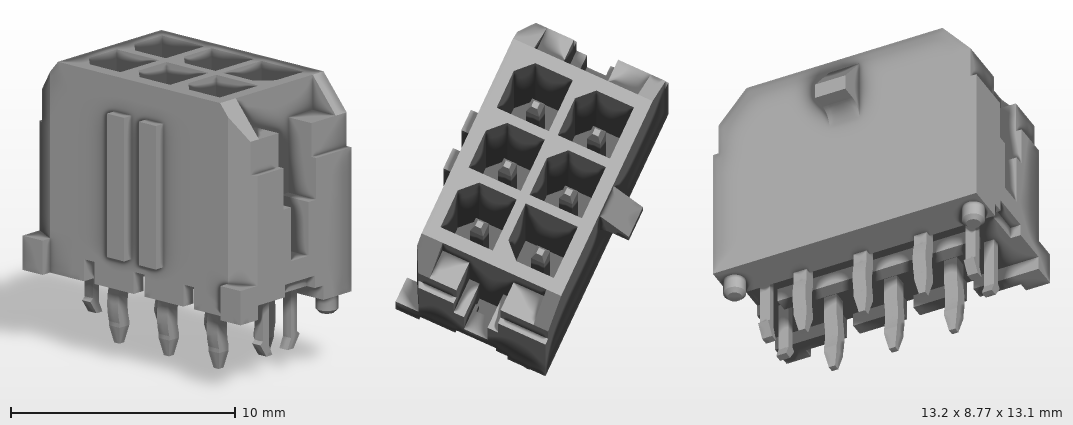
import cadquery as cq


PITCH = 3.0
COLUMN_X = (-PITCH, 0, PITCH)
ROW_Y = (-PITCH / 2, PITCH / 2)

HALF_WIDTH = 6.58
SHOULDER_HALF_WIDTH = 6.29
TOP_HALF_WIDTH = 4.89
FRONT_HALF_WIDTH = 5.37
FRONT_Y = -3.43
BACK_Y = 3.42
TOP_Z = 9.89
TOTAL_HEIGHT = 13.08
SLOPE_BASE_Z = 8.26
STEP_Z = 6.69
CORNER_DEPTH = 0.63

CAVITY_SIZE = 2.56
CAVITY_CHAMFER = 0.72
CAVITY_FLOOR_Z = 2.0

BACK_CORNER_THICKNESS = 0.72
FRONT_CORNER_THICKNESS = 1.04
WIDE_SLOT_WIDTH = 2.17
WIDE_SLOT_Z = 4.76
NARROW_SLOT_WIDTH = 1.16
NARROW_SLOT_Z = 2.26
POCKET_DEPTH = 0.67
POCKET_INNER_X = 5.31
POCKET_OUTER_X = 5.62
POCKET_OUTER_WIDTH = 0.83
WINDOW_WIDTH = 1.99
WINDOW_TOP_Z = 1.25
WINDOW_DEPTH = 0.5

CLEARANCE_Z = 0.67
CLEARANCE_FRONT_Y = -2.77
CLEARANCE_BACK_Y = 1.56
PAD_LENGTH = 0.68
NOTCH_TOP_Z = 1.03

RIB_WIDTH = 1.03
RIB_CENTER_X = 0.96
RIB_DEPTH = 0.5
FOOT_HEIGHT = 1.59

LATCH_WIDTH = 1.5
LATCH_REACH = 1.42
LATCH_TOP_Z = 9.32
LATCH_NOSE_Z = 7.67
LATCH_BOTTOM_Z = 6.92
LATCH_FILLET = 0.68

PEG_DIAMETER = 1.03
PEG_LENGTH = 0.87
PEG_CHAMFER = 0.18
PEG_X = 5.96
PEG_Y = 2.47

CONTACT_SHIFT_Y = 0.04
PIN_SIZE = 0.65
PIN_TIP_SIZE = 0.32
PIN_BOTTOM_Z = TOP_Z - TOTAL_HEIGHT
PIN_TAPER_Z = -2.39
BEND_TOP_Z = -0.53
BEND_BOTTOM_Z = -2.2
BEND_OFFSET = 0.12
PIN_TOP_Z = 7.63
PIN_POINT_SIZE = 0.29
PIN_POINT_LENGTH = 0.59

CLIP_THICKNESS = 0.5
CLIP_OUTER_X = 5.38
CLIP_LEG_OUTER_Y = 1.13
CLIP_LEG_INNER_Y = 0.74
CLIP_BARB_Y = 1.3
CLIP_TIP_OUTER_Y = 0.9
CLIP_TIP_INNER_Y = 0.5
CLIP_SHOULDER_Z = -1.59
CLIP_BARB_Z = -1.74
CLIP_INNER_BEND_Z = -1.83
CLIP_TIP_Z = -2.34


def box(x_start, x_end, y_start, y_end, z_start, z_end):
    """Box between two limits on each axis."""
    size = (x_end - x_start, y_end - y_start, z_end - z_start)
    return cq.Workplane("XY").box(*size, centered=False).translate((x_start, y_start, z_start))


def on_both_ends(right_shape):
    """A shape at the +X end together with its mirror image at the -X end."""
    return right_shape.union(right_shape.mirror("YZ"))


def make_shell():
    """Stepped and sloped housing block with its front vertical corners cut off."""
    half_outline = [
        (0, 0),
        (HALF_WIDTH, 0),
        (HALF_WIDTH, STEP_Z),
        (SHOULDER_HALF_WIDTH, STEP_Z),
        (SHOULDER_HALF_WIDTH, SLOPE_BASE_Z),
        (TOP_HALF_WIDTH, TOP_Z),
        (0, TOP_Z),
    ]
    half = cq.Workplane("XZ", origin=(0, BACK_Y, 0)).polyline(half_outline).close().extrude(BACK_Y - FRONT_Y)
    corner = (
        cq.Workplane("XY")
        .polyline([
            (FRONT_HALF_WIDTH, FRONT_Y),
            (HALF_WIDTH, FRONT_Y),
            (HALF_WIDTH, FRONT_Y + CORNER_DEPTH),
        ])
        .close()
        .extrude(TOP_Z)
    )
    return on_both_ends(half.cut(corner))


def make_end_recesses():
    """Open top, stepped slot, floor pocket and low window cut into each end wall."""
    open_top = box(
        TOP_HALF_WIDTH, HALF_WIDTH,
        FRONT_Y + FRONT_CORNER_THICKNESS, BACK_Y - BACK_CORNER_THICKNESS,
        SLOPE_BASE_Z, TOP_Z,
    )
    wide_slot = box(
        TOP_HALF_WIDTH, HALF_WIDTH, -WIDE_SLOT_WIDTH / 2, WIDE_SLOT_WIDTH / 2, WIDE_SLOT_Z, TOP_Z
    )
    narrow_slot = box(
        TOP_HALF_WIDTH, HALF_WIDTH, -NARROW_SLOT_WIDTH / 2, NARROW_SLOT_WIDTH / 2, NARROW_SLOT_Z, TOP_Z
    )
    pocket_floor_z = NARROW_SLOT_Z - POCKET_DEPTH
    inner_pocket = box(
        TOP_HALF_WIDTH, POCKET_INNER_X,
        -NARROW_SLOT_WIDTH / 2, NARROW_SLOT_WIDTH / 2,
        pocket_floor_z, NARROW_SLOT_Z,
    )
    outer_pocket = box(
        TOP_HALF_WIDTH, POCKET_OUTER_X,
        -POCKET_OUTER_WIDTH / 2, POCKET_OUTER_WIDTH / 2,
        pocket_floor_z, NARROW_SLOT_Z,
    )
    window = box(
        HALF_WIDTH - WINDOW_DEPTH, HALF_WIDTH, -WINDOW_WIDTH / 2, WINDOW_WIDTH / 2, 0, WINDOW_TOP_Z
    )
    recesses = open_top.union(wide_slot).union(narrow_slot)
    return on_both_ends(recesses.union(inner_pocket).union(outer_pocket).union(window))


def make_cavity(x, y):
    """Square contact cavity with one chamfered front corner that keys the mating plug."""
    keyed_right = x > 0 and y > 0
    key_edge = "|Z and >X and <Y" if keyed_right else "|Z and <X and <Y"
    half = CAVITY_SIZE / 2
    cavity = box(x - half, x + half, y - half, y + half, CAVITY_FLOOR_Z, TOP_Z)
    return cavity.edges(key_edge).chamfer(CAVITY_CHAMFER)


def make_underside_clearance():
    """Full-width channel under the housing, less a pad along the middle."""
    channel = box(-HALF_WIDTH, HALF_WIDTH, CLEARANCE_FRONT_Y, CLEARANCE_BACK_Y, 0, CLEARANCE_Z)
    pad = box(-TOP_HALF_WIDTH, TOP_HALF_WIDTH, -PAD_LENGTH / 2, PAD_LENGTH / 2, 0, CLEARANCE_Z)
    return channel.cut(pad)


def make_notch(x):
    """Notch in the lower front wall, running back to the front contact of a column."""
    half = PIN_SIZE / 2
    return box(x - half, x + half, FRONT_Y, ROW_Y[0], 0, NOTCH_TOP_Z)


def make_front_ribs():
    half = RIB_WIDTH / 2
    return on_both_ends(
        box(
            RIB_CENTER_X - half, RIB_CENTER_X + half, FRONT_Y - RIB_DEPTH, FRONT_Y, FOOT_HEIGHT, SLOPE_BASE_Z
        )
    )


def make_feet():
    """Blocks that fill out the front corners down at the board."""
    return on_both_ends(
        box(FRONT_HALF_WIDTH, HALF_WIDTH, FRONT_Y - RIB_DEPTH, CLEARANCE_FRONT_Y, 0, FOOT_HEIGHT)
    )


def make_latch():
    """Latch ramp on the back face with a concave fillet underneath."""
    diagonal = LATCH_FILLET * (1 - 0.5 ** 0.5)
    return (
        cq.Workplane("YZ", origin=(-LATCH_WIDTH / 2, 0, 0))
        .moveTo(BACK_Y, LATCH_TOP_Z)
        .lineTo(BACK_Y + LATCH_REACH, LATCH_NOSE_Z)
        .lineTo(BACK_Y + LATCH_REACH, LATCH_BOTTOM_Z)
        .lineTo(BACK_Y + LATCH_FILLET, LATCH_BOTTOM_Z)
        .threePointArc(
            (BACK_Y + diagonal, LATCH_BOTTOM_Z - diagonal),
            (BACK_Y, LATCH_BOTTOM_Z - LATCH_FILLET),
        )
        .close()
        .extrude(LATCH_WIDTH)
    )


def make_pegs():
    peg = (
        cq.Workplane("XY")
        .center(PEG_X, PEG_Y)
        .circle(PEG_DIAMETER / 2)
        .extrude(-PEG_LENGTH)
        .faces("<Z")
        .chamfer(PEG_CHAMFER)
    )
    return on_both_ends(peg)


def make_contact(x, y):
    """Square pin: pointed top, solder tail bowed outward from the housing middle, tapered tip."""
    half = PIN_SIZE / 2
    bow = BEND_OFFSET if y > 0 else -BEND_OFFSET
    bend_middle_z = (BEND_TOP_Z + BEND_BOTTOM_Z) / 2
    shank_top_z = PIN_TOP_Z - PIN_POINT_LENGTH
    shank = (
        cq.Workplane("YZ", origin=(x - half, y, 0))
        .moveTo(-half, shank_top_z)
        .lineTo(-half, BEND_TOP_Z)
        .threePointArc((bow - half, bend_middle_z), (-half, BEND_BOTTOM_Z))
        .lineTo(-half, PIN_TAPER_Z)
        .lineTo(half, PIN_TAPER_Z)
        .lineTo(half, BEND_BOTTOM_Z)
        .threePointArc((bow + half, bend_middle_z), (half, BEND_TOP_Z))
        .lineTo(half, shank_top_z)
        .close()
        .extrude(PIN_SIZE)
    )
    point = make_square_taper(x, y, shank_top_z, PIN_POINT_LENGTH, PIN_POINT_SIZE)
    tip = make_square_taper(x, y, PIN_TAPER_Z, PIN_BOTTOM_Z - PIN_TAPER_Z, PIN_TIP_SIZE)
    return shank.union(point).union(tip)


def make_square_taper(x, y, base_z, length, end_size):
    """Taper from the full pin section to a smaller square; a negative length points down."""
    return (
        cq.Workplane("XY", origin=(x, y, base_z))
        .rect(PIN_SIZE, PIN_SIZE)
        .workplane(offset=length)
        .rect(end_size, end_size)
        .loft(ruled=True)
    )


def make_clips():
    """Barbed pairs of board clip legs under both ends."""
    leg = (
        cq.Workplane("YZ", origin=(CLIP_OUTER_X - CLIP_THICKNESS, 0, 0))
        .polyline([
            (CLIP_LEG_INNER_Y, CLEARANCE_Z),
            (CLIP_LEG_OUTER_Y, CLEARANCE_Z),
            (CLIP_LEG_OUTER_Y, CLIP_SHOULDER_Z),
            (CLIP_BARB_Y, CLIP_BARB_Z),
            (CLIP_TIP_OUTER_Y, CLIP_TIP_Z),
            (CLIP_TIP_INNER_Y, CLIP_TIP_Z),
            (CLIP_LEG_INNER_Y, CLIP_INNER_BEND_Z),
        ])
        .close()
        .extrude(CLIP_THICKNESS)
    )
    return on_both_ends(leg.union(leg.mirror("XZ")))


housing = make_shell().union(make_feet())
housing = housing.cut(make_end_recesses()).cut(make_underside_clearance())
for column_x in COLUMN_X:
    housing = housing.cut(make_notch(column_x))
    for row_y in ROW_Y:
        housing = housing.cut(make_cavity(column_x, row_y))

result = housing.union(make_front_ribs()).union(make_latch()).union(make_pegs()).union(make_clips())
for column_x in COLUMN_X:
    for row_y in ROW_Y:
        result = result.union(make_contact(column_x, row_y + CONTACT_SHIFT_Y))